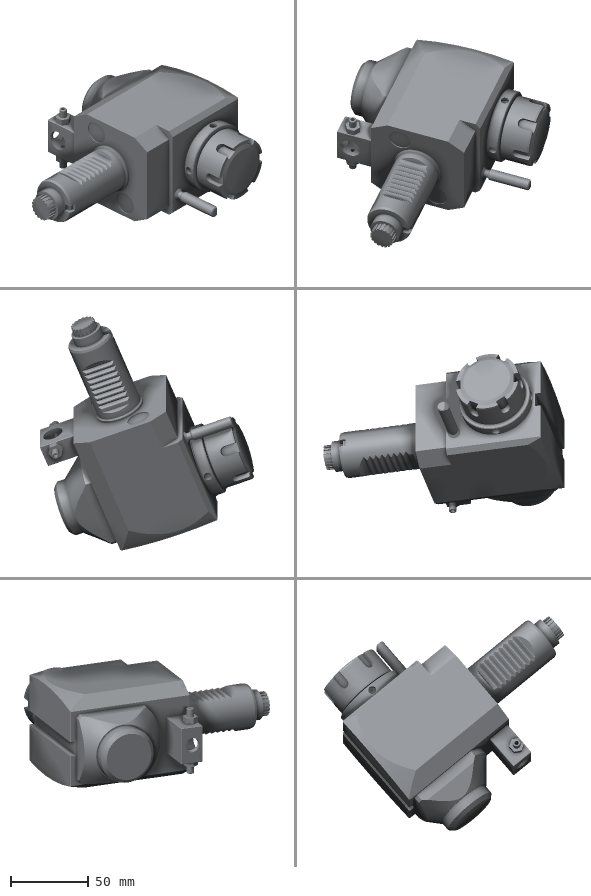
import cadquery as cq
import math


TOTAL_LENGTH = 151

BODY_LEFT = -32.3
BODY_RIGHT = 35.2
BODY_DEPTH = 84.0
BODY_HALF_HEIGHT = 32.0
BEVEL_ANGLE = math.radians(30)
LEFT_BEVEL_WIDTH = 11.3
LEFT_BEVEL_HEIGHT = LEFT_BEVEL_WIDTH * math.tan(BEVEL_ANGLE)
RIGHT_CHAMFER = 3.2
REAR_EDGE_CHAMFER = 0.6

RELIEF_FACE = 31.9
RELIEF_DEPTH = 20.8
RELIEF_BEVEL_WIDTH = 11.0
RELIEF_BEVEL_HEIGHT = RELIEF_BEVEL_WIDTH * math.tan(BEVEL_ANGLE)

REAR_CONE_X = 9.8
REAR_CONE_AXIS_Z = -130.8
REAR_CONE_RADIUS = 162.0
REAR_CONE_SLOPE = 4.1
REAR_CONE_LENGTH = 45.3

REAR_GROOVE_HALF_WIDTH = 4.8
REAR_GROOVE_DEPTH = 3.8

BOLT_CIRCLE_RADIUS = 25.0
BOLT_ANGLES = (120, 300)
BOLT_RADIUS = 7.4
BOLT_RECESS = 0.8

SHANK_RADIUS = 15.0
SHANK_END = 55.1
SHANK_CHAMFER = 0.6
SHANK_CHAMFER_LENGTH = 1.7
COLLAR_RADIUS = 16.0
COLLAR_LENGTH = 1.4
COLLAR_TAPER_END = 2.1
STUB_RADIUS = 10.0
STUB_END = 61.5
SPLINE_RADIUS = 8.0
SPLINE_ROOT_RADIUS = 7.2
SPLINE_TEETH = 18
SPLINE_GAP = 1.4
SPLINE_END = TOTAL_LENGTH - BODY_DEPTH

RACK_START = 7.2
RACK_WALL_RUN = 0.9
RACK_FLAT = 12.0
RACK_ROOT = 10.3
RACK_FIRST_GROOVE = 11.6
RACK_LAST_GROOVE = 39.5
RACK_GROOVES = 8
RACK_PITCH = (RACK_LAST_GROOVE - RACK_FIRST_GROOVE) / (RACK_GROOVES - 1)
RACK_LAST_LAND = 0.3

KEYWAY_HALF_WIDTH = 2.4
KEYWAY_DEPTH = 4.5
KEYWAY_INNER_DEPTH = 2.3
KEYWAY_STEP_RADIUS = 12.8

SPINDLE_Y = 55.0
CAP_END = -61.0
CAP_RIM = -58.3
CAP_NECK = -52.1
CAP_SHOULDER = -36.5
CAP_FACE_RADIUS = 15.7
CAP_RADIUS = 18.4
CAP_CONE_RADIUS = 19.3
CAP_BASE_RADIUS = 32.5
CAP_HALF_HEIGHT = 23.1
CAP_REAR_FLAT = 24.8
CAP_CORNER_CHAMFER = 2.3
CAP_SLOPE_START = -39.3
CAP_SLOPE = 0.27

RING_START = 35.8
RING_END = 43.3
RING_RADIUS = 23.5
RING_CHAMFER = 0.5
RING_NECK_RADIUS = 22.6
NUT_START = 44.4
NUT_LIP = 63.5
NUT_END = 64.8
NUT_RADIUS = 21.1
NUT_NECK_RADIUS = 18.3
NUT_LIP_RADIUS = 18.4
NUT_FACE_RADIUS = 15.5
NUT_EDGE_DROP = 0.3
NUT_EDGE_LENGTH = 1.2
NUT_SLOTS = 6
NUT_SLOT_FLOOR = 17.5
NUT_SLOT_HALF_WIDTH = 3.3
NUT_SLOT_START = 52.5
RING_HOLES = 4
RING_HOLE_X = 39.5
RING_HOLE_RADIUS = 2.5
RING_HOLE_DEPTH = 3
DRILL_POINT_RATIO = 0.6

PIN_Y = 26.3
PIN_Z = -17.4
PIN_END = 67.6
PIN_RADIUS = 3.6
PIN_FOOT_RADIUS = 4.1
PIN_NECK_RADIUS = 2.5
PIN_NECK_START = 36.7
PIN_NECK_END = 39.3
PIN_SHOULDER = 40.3
PIN_CHAMFER = 0.6
PIN_BEVEL = 2.4

BLOCK_LEFT = -56.2
BLOCK_FRONT = 1.0
BLOCK_BACK = 16.0
BLOCK_HALF_HEIGHT = 12.4
BLOCK_CHAMFER = 0.3
BLOCK_BORE_X = -47.1
BLOCK_BORE_RADIUS = 6.6
BLOCK_SIDE_Y = 8.5
BLOCK_SIDE_RADIUS = 4.8
BLOCK_SIDE_FLOOR = -39.9
BLOCK_BORE_FLOOR = 13.5
BLOCK_BORE_TIP = 15.4
BLOCK_PASSAGE_RADIUS = 1.4
NOZZLE_Y = 5.9
NOZZLE_RADIUS = 2.4
NOZZLE_TIP = 22.2
NOZZLE_CHAMFER = 0.3
NOZZLE_BORE_RADIUS = 1.4
HEX_FLATS = 8.5
HEX_TOP = 16.6


def polygon_prism(plane, points, start, length):
    """Closed outline extruded along the plane's normal from an offset."""
    return cq.Workplane(plane).workplane(offset=start).polyline(points).close().extrude(length)


def turned(points, y=0.0, z=0.0):
    """Solid of revolution about a line parallel to X; points are (x, radius)."""
    outline = [(points[0][0], 0)] + points + [(points[-1][0], 0)]
    solid = cq.Workplane("XY").polyline(outline).close().revolve(360, (0, 0, 0), (1, 0, 0))
    return solid.translate((0, y, z))


def box_between(x0, x1, y0, y1, z0, z1):
    return cq.Workplane("XY").box(x1 - x0, y1 - y0, z1 - z0, centered=False).translate((x0, y0, z0))


def with_mirror(solid):
    """The solid together with its reflection in the plane Z = 0."""
    return solid.union(solid.mirror("XY"))


def make_body():
    top = BODY_HALF_HEIGHT
    half = [
        (BODY_LEFT, top - LEFT_BEVEL_HEIGHT),
        (BODY_LEFT + LEFT_BEVEL_WIDTH, top),
        (BODY_RIGHT - RIGHT_CHAMFER, top),
        (BODY_RIGHT, top - RIGHT_CHAMFER),
    ]
    outline = half + [(x, -z) for x, z in reversed(half)]
    body = polygon_prism("XZ", outline, -BODY_DEPTH, BODY_DEPTH)
    body = body.faces("<X or >X").edges(">Y").chamfer(REAR_EDGE_CHAMFER)
    body = body.intersect(rear_cone()).intersect(rear_cone().mirror("XY"))
    body = body.cut(front_relief())
    groove = box_between(
        BODY_LEFT, BODY_RIGHT, BODY_DEPTH - REAR_GROOVE_DEPTH, BODY_DEPTH,
        -REAR_GROOVE_HALF_WIDTH, REAR_GROOVE_HALF_WIDTH,
    )
    return body.cut(groove).cut(bolt_recesses())


def rear_cone():
    """Wide shallow cone that trims the top of the housing towards the rear."""
    front_radius = REAR_CONE_RADIUS + REAR_CONE_LENGTH / REAR_CONE_SLOPE
    cone_start = BODY_DEPTH - REAR_CONE_LENGTH
    outline = [
        (0, 0),
        (front_radius, 0),
        (front_radius, cone_start),
        (REAR_CONE_RADIUS, BODY_DEPTH),
        (0, BODY_DEPTH),
    ]
    cone = cq.Workplane("XY").polyline(outline).close().revolve(360, (0, 0, 0), (0, 1, 0))
    return cone.translate((REAR_CONE_X, 0, REAR_CONE_AXIS_Z))


def front_relief():
    """Step and bevel on the front right corners of the housing."""
    top = BODY_HALF_HEIGHT
    corner = [
        (RELIEF_FACE - RELIEF_BEVEL_WIDTH, top),
        (RELIEF_FACE, top - RELIEF_BEVEL_HEIGHT),
        (RELIEF_FACE, 0),
        (BODY_RIGHT, 0),
        (BODY_RIGHT, top),
    ]
    return with_mirror(polygon_prism("XZ", corner, -RELIEF_DEPTH, RELIEF_DEPTH))


def bolt_recesses():
    points = [
        (BOLT_CIRCLE_RADIUS * math.cos(math.radians(a)), BOLT_CIRCLE_RADIUS * math.sin(math.radians(a)))
        for a in BOLT_ANGLES
    ]
    return cq.Workplane("XZ").pushPoints(points).circle(BOLT_RADIUS).extrude(-BOLT_RECESS)


def make_shank():
    outline = [
        (0, 0),
        (COLLAR_RADIUS, 0),
        (COLLAR_RADIUS, -COLLAR_LENGTH),
        (SHANK_RADIUS, -COLLAR_TAPER_END),
        (SHANK_RADIUS, SHANK_CHAMFER_LENGTH - SHANK_END),
        (SHANK_RADIUS - SHANK_CHAMFER, -SHANK_END),
        (STUB_RADIUS, -SHANK_END),
        (STUB_RADIUS, -STUB_END),
        (SPLINE_RADIUS, -STUB_END),
        (SPLINE_RADIUS, -SPLINE_END),
        (0, -SPLINE_END),
    ]
    shank = cq.Workplane("XY").polyline(outline).close().revolve(360, (0, 0, 0), (0, 1, 0))
    return shank.cut(with_mirror(rack_cut())).cut(spline_gaps()).cut(keyway())


def rack_cut():
    """Flat with a row of V grooves along the upper side of the shank."""
    rim = SHANK_RADIUS
    depth = RACK_FLAT - RACK_ROOT
    outline = [(RACK_WALL_RUN - RACK_START, rim), (-RACK_START, RACK_FLAT)]
    for i in range(RACK_GROOVES):
        y = -RACK_FIRST_GROOVE - i * RACK_PITCH
        outline += [(y + depth, RACK_FLAT), (y, RACK_ROOT), (y - depth, RACK_FLAT)]
    runout_start = outline[-1][0] - RACK_LAST_LAND
    outline += [(runout_start, RACK_FLAT), (runout_start - (rim - RACK_FLAT), rim)]
    return polygon_prism("YZ", outline, -rim, 2 * rim)


def spline_gaps():
    return (
        cq.Workplane("XZ")
        .workplane(offset=STUB_END)
        .polarArray(SPLINE_ROOT_RADIUS + SPLINE_GAP / 2, 0, 360, SPLINE_TEETH)
        .rect(SPLINE_GAP, SPLINE_GAP)
        .extrude(SPLINE_END - STUB_END)
    )


def keyway():
    """Stepped slot in the shank's end face, on the +X side."""
    w = KEYWAY_HALF_WIDTH
    inner = box_between(STUB_RADIUS, KEYWAY_STEP_RADIUS, -SHANK_END, KEYWAY_INNER_DEPTH - SHANK_END, -w, w)
    outer = box_between(KEYWAY_STEP_RADIUS, SHANK_RADIUS, -SHANK_END, KEYWAY_DEPTH - SHANK_END, -w, w)
    return inner.union(outer)


def make_cap():
    cap = turned(
        [
            (CAP_END, CAP_FACE_RADIUS),
            (CAP_RIM, CAP_RADIUS),
            (CAP_NECK, CAP_RADIUS),
            (CAP_NECK, CAP_CONE_RADIUS),
            (CAP_SHOULDER, CAP_BASE_RADIUS),
            (BODY_LEFT, CAP_BASE_RADIUS),
        ],
        SPINDLE_Y,
    )
    return cap.intersect(cap_flats()).intersect(cap_slopes())


def cap_flats():
    """Block with flats above, below and behind the cap and chamfered rear corners."""
    block = box_between(
        CAP_END, BODY_LEFT, SPINDLE_Y - CAP_BASE_RADIUS, SPINDLE_Y + CAP_REAR_FLAT,
        -CAP_HALF_HEIGHT, CAP_HALF_HEIGHT,
    )
    return block.faces(">Y").edges("|X").chamfer(CAP_CORNER_CHAMFER)


def cap_slopes():
    """Block whose upper and lower faces fall towards the cap's neck and clear the round rim."""
    neck_height = CAP_HALF_HEIGHT - CAP_SLOPE * (CAP_SLOPE_START - CAP_NECK)
    outline = [
        (BODY_LEFT, -CAP_HALF_HEIGHT),
        (BODY_LEFT, CAP_HALF_HEIGHT),
        (CAP_SLOPE_START, CAP_HALF_HEIGHT),
        (CAP_NECK, neck_height),
        (CAP_END, CAP_HALF_HEIGHT),
        (CAP_END, -CAP_HALF_HEIGHT),
        (CAP_NECK, -neck_height),
        (CAP_SLOPE_START, -CAP_HALF_HEIGHT),
    ]
    return polygon_prism("XZ", outline, -BODY_DEPTH, BODY_DEPTH)


def make_nut():
    nut = turned(
        [
            (BODY_RIGHT, RING_NECK_RADIUS),
            (RING_START, RING_NECK_RADIUS),
            (RING_START, RING_RADIUS - RING_CHAMFER),
            (RING_START + RING_CHAMFER, RING_RADIUS),
            (RING_END - RING_CHAMFER, RING_RADIUS),
            (RING_END, RING_RADIUS - RING_CHAMFER),
            (RING_END, NUT_NECK_RADIUS),
            (NUT_START, NUT_NECK_RADIUS),
            (NUT_START, NUT_RADIUS),
            (NUT_LIP - NUT_EDGE_LENGTH, NUT_RADIUS),
            (NUT_LIP, NUT_RADIUS - NUT_EDGE_DROP),
            (NUT_LIP, NUT_LIP_RADIUS),
            (NUT_END, NUT_FACE_RADIUS),
        ]
    )
    for i in range(NUT_SLOTS):
        nut = nut.cut(nut_slot().rotate((0, 0, 0), (1, 0, 0), i * 360 / NUT_SLOTS))
    for i in range(RING_HOLES):
        nut = nut.cut(ring_hole().rotate((0, 0, 0), (1, 0, 0), i * 360 / RING_HOLES))
    return nut.translate((0, SPINDLE_Y, 0))


def nut_slot():
    """Round-ended wrench slot on the -Y side of the nut."""
    center_x = NUT_SLOT_START + NUT_SLOT_HALF_WIDTH
    height = NUT_RADIUS - NUT_SLOT_FLOOR
    base = cq.Workplane("XZ").workplane(offset=NUT_SLOT_FLOOR)
    round_end = base.center(center_x, 0).circle(NUT_SLOT_HALF_WIDTH).extrude(height)
    straight = box_between(
        center_x, NUT_END, -NUT_RADIUS, -NUT_SLOT_FLOOR, -NUT_SLOT_HALF_WIDTH, NUT_SLOT_HALF_WIDTH
    )
    return round_end.union(straight)


def ring_hole():
    """Drilled spanner hole with a conical bottom, on the -Y side of the ring."""
    floor = RING_RADIUS - RING_HOLE_DEPTH
    outline = [
        (0, -RING_RADIUS),
        (RING_HOLE_RADIUS, -RING_RADIUS),
        (RING_HOLE_RADIUS, -floor),
        (0, RING_HOLE_RADIUS * DRILL_POINT_RATIO - floor),
    ]
    hole = cq.Workplane("XY").polyline(outline).close().revolve(360, (0, 0, 0), (0, 1, 0))
    return hole.translate((RING_HOLE_X, 0, 0))


def make_pin():
    pin = turned(
        [
            (BODY_RIGHT, PIN_FOOT_RADIUS),
            (PIN_NECK_START, PIN_NECK_RADIUS),
            (PIN_NECK_END, PIN_NECK_RADIUS),
            (PIN_SHOULDER, PIN_RADIUS),
            (PIN_END - PIN_CHAMFER, PIN_RADIUS),
            (PIN_END, PIN_RADIUS - PIN_CHAMFER),
        ],
        PIN_Y,
        PIN_Z,
    )
    rear = PIN_Y + PIN_RADIUS
    bevel = [(PIN_END - PIN_BEVEL, rear), (PIN_END, rear), (PIN_END, rear - PIN_BEVEL)]
    return pin.cut(polygon_prism("XY", bevel, PIN_Z - PIN_RADIUS, 2 * PIN_RADIUS))


def make_coolant_block():
    block = box_between(
        BLOCK_LEFT, BODY_LEFT, BLOCK_FRONT, BLOCK_BACK, -BLOCK_HALF_HEIGHT, BLOCK_HALF_HEIGHT
    )
    block = block.faces("not >X").edges("not >X").chamfer(BLOCK_CHAMFER)
    block = block.union(with_mirror(nozzle()))

    bore_outline = [
        (0, BLOCK_FRONT),
        (BLOCK_BORE_RADIUS, BLOCK_FRONT),
        (BLOCK_BORE_RADIUS, BLOCK_BORE_FLOOR),
        (0, BLOCK_BORE_TIP),
    ]
    front_bore = cq.Workplane("XY").polyline(bore_outline).close().revolve(360, (0, 0, 0), (0, 1, 0))
    front_bore = front_bore.translate((BLOCK_BORE_X, 0, 0))
    side_bore = turned(
        [
            (BLOCK_LEFT, BLOCK_SIDE_RADIUS),
            (BLOCK_SIDE_FLOOR, BLOCK_SIDE_RADIUS),
            (BLOCK_SIDE_FLOOR, BLOCK_PASSAGE_RADIUS),
            (BODY_LEFT, BLOCK_PASSAGE_RADIUS),
        ],
        BLOCK_SIDE_Y,
    )
    nozzle_bores = (
        cq.Workplane("XY")
        .center(BLOCK_BORE_X, NOZZLE_Y)
        .circle(NOZZLE_BORE_RADIUS)
        .extrude(NOZZLE_TIP, both=True)
    )
    return block.cut(front_bore).cut(side_bore).cut(nozzle_bores)


def nozzle():
    """Hexagon and tube standing on the top of the coolant block."""
    base = cq.Workplane("XY").workplane(offset=BLOCK_HALF_HEIGHT).center(BLOCK_BORE_X, NOZZLE_Y)
    hexagon = base.polygon(6, HEX_FLATS / math.cos(math.radians(30))).extrude(HEX_TOP - BLOCK_HALF_HEIGHT)
    tube = base.circle(NOZZLE_RADIUS).extrude(NOZZLE_TIP - BLOCK_HALF_HEIGHT)
    return hexagon.union(tube.faces(">Z").chamfer(NOZZLE_CHAMFER))


result = make_body()
for feature in (make_shank(), make_cap(), make_nut(), make_pin(), make_coolant_block()):
    result = result.union(feature)